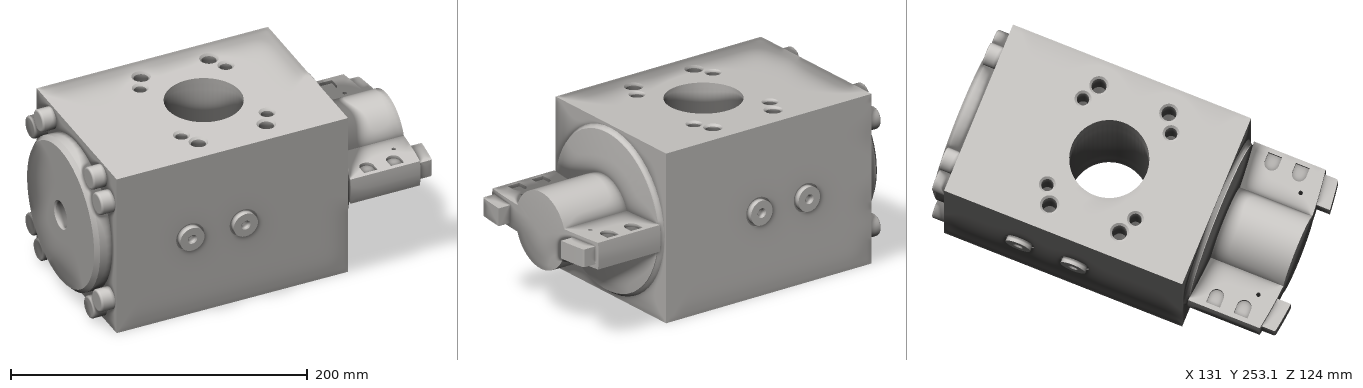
import cadquery as cq
import math


block_width = 124.0
block_front = -95.0
block_back = 78.0
half_block = block_width / 2
bore_diameter = 54.0

drill_point_angle = 118.0
mount_hole_depth = 25.0
inner_hole_diameter = 8.38
inner_hole_mouth = 11.45
inner_hole_spacing = (64.0, 64.0)
outer_hole_diameter = 10.11
outer_hole_mouth = 13.16
outer_hole_spacing = (88.9, 50.8)

cover_diameter = 110.0
cover_height = 12.0
cover_chamfer = 3.0
port_diameter = 18.63
port_mouth = 21.0
port_depth = 20.0

screw_circle_radius = 65.0
screw_half_angle = 8.0
screw_head_diameter = 16.0
screw_head_height = 10.0
screw_head_round = 1.5

plug_diameter = 18.0
plug_protrusion = 3.5
plug_depth = 12.0
plug_socket_mouth = 7.0
plug_socket_diameter = 5.4
plug_socket_depth = 6.0
plug_socket_point_angle = 90.0
spotface_diameter = 21.0
spotface_depth = 1.0
plug_positions_y = (0.0, -40.0)

flange_diameter = 120.0
rim_height = 3.0
rim_step = 2.5
rim_land = 0.5
flange_dome_radius = 450.0
dome_base_radius = flange_diameter / 2 - rim_step

boss_diameter = 56.0
arm_thickness = 19.5
coupling_end_y = 138.1
end_dome_radius = 370.0
pin_hole_diameter = 3.0
pin_hole_x = 38.0
pin_hole_y = 123.7

pocket_outer_x = 56.0
pocket_length = 11.4
pocket_width = 10.0
pocket_depth = 2.5
pocket_positions_y = (98.0, 118.0)

lug_inner_x = 35.0
lug_outer_x = 56.7
lug_thickness = 13.0
lug_end_y = 146.14
lug_chamfer = 1.0


def dome_sag(dome_radius, radius):
    """Distance a dome falls below its peak at the given radius from the axis."""
    return dome_radius - math.sqrt(dome_radius**2 - radius**2)


dome_peak_y = block_back + rim_height + rim_land + dome_sag(flange_dome_radius, dome_base_radius)
lug_peak_y = lug_end_y + dome_sag(end_dome_radius, lug_inner_x)


def cylinder_y(diameter, start, length):
    """Cylinder on the Y axis growing toward +Y."""
    base = cq.Solid.makeCylinder(diameter / 2, length, cq.Vector(0, start, 0), cq.Vector(0, 1, 0))
    return cq.Workplane(obj=base)


def domed_cylinder(radius, start, peak, dome_radius):
    """Cylinder on the Y axis, from start to a domed end that peaks at the given Y."""
    half_radius = radius / 2
    return (
        cq.Workplane("XY")
        .moveTo(0, start)
        .lineTo(radius, start)
        .lineTo(radius, peak - dome_sag(dome_radius, radius))
        .threePointArc((half_radius, peak - dome_sag(dome_radius, half_radius)), (0, peak))
        .close()
        .revolve(360, (0, 0, 0), (0, 1, 0))
    )


def make_drilled_holes(spacing, diameter, mouth):
    """Four blind holes in the top face with 45 degree mouths and drill points."""
    radius = diameter / 2
    mouth_radius = mouth / 2
    point_height = radius / math.tan(math.radians(drill_point_angle / 2))
    floor_z = half_block - mount_hole_depth
    cutter = (
        cq.Workplane("XZ")
        .moveTo(0, half_block)
        .lineTo(mouth_radius, half_block)
        .lineTo(radius, half_block - (mouth_radius - radius))
        .lineTo(radius, floor_z)
        .lineTo(0, floor_z - point_height)
        .close()
        .revolve(360, (0, 0, 0), (0, 1, 0))
        .val()
    )
    return (
        cq.Workplane("XY")
        .rarray(spacing[0], spacing[1], 2, 2)
        .eachpoint(lambda place: cutter.moved(place))
    )


def make_block():
    block = cq.Workplane("XY").box(block_width, block_back - block_front, block_width)
    block = block.translate((0, (block_front + block_back) / 2, 0))
    bore = cq.Workplane("XY").circle(bore_diameter / 2).extrude(half_block, both=True)
    return (
        block.cut(bore)
        .cut(make_drilled_holes(inner_hole_spacing, inner_hole_diameter, inner_hole_mouth))
        .cut(make_drilled_holes(outer_hole_spacing, outer_hole_diameter, outer_hole_mouth))
    )


def make_cover():
    front = block_front - cover_height
    return cylinder_y(cover_diameter, front, cover_height).faces("<Y").chamfer(cover_chamfer)


def make_port():
    """Cutter for the blind centre port, with a 45 degree mouth."""
    front = block_front - cover_height
    radius = port_diameter / 2
    mouth_radius = port_mouth / 2
    return (
        cq.Workplane("XY")
        .moveTo(0, front)
        .lineTo(mouth_radius, front)
        .lineTo(radius, front + mouth_radius - radius)
        .lineTo(radius, front + port_depth)
        .lineTo(0, front + port_depth)
        .close()
        .revolve(360, (0, 0, 0), (0, 1, 0))
    )


def make_screw_heads():
    head = cylinder_y(screw_head_diameter, block_front - screw_head_height, screw_head_height)
    head = head.faces("<Y").edges().fillet(screw_head_round)
    heads = []
    for diagonal in (45, 135, 225, 315):
        for offset in (-screw_half_angle, screw_half_angle):
            angle = math.radians(diagonal + offset)
            x = screw_circle_radius * math.cos(angle)
            z = screw_circle_radius * math.sin(angle)
            heads.append(head.translate((x, 0, z)))
    return heads


def make_flange():
    """Conical rim around a short cylinder with a domed face."""
    base = cq.Vector(0, block_back, 0)
    rim = cq.Solid.makeCone(flange_diameter / 2, dome_base_radius, rim_height, base, cq.Vector(0, 1, 0))
    dome = domed_cylinder(dome_base_radius, block_back, dome_peak_y, flange_dome_radius)
    return cq.Workplane(obj=rim).union(dome)


def make_pockets():
    """Cutters for the pockets on both arms, rounded toward the boss."""
    straight = pocket_length - pocket_width / 2
    round_centre_x = pocket_outer_x - straight
    floor_z = arm_thickness / 2 - pocket_depth
    right = (
        cq.Workplane("XY", origin=(0, 0, floor_z))
        .moveTo(pocket_outer_x, -pocket_width / 2)
        .lineTo(pocket_outer_x, pocket_width / 2)
        .lineTo(round_centre_x, pocket_width / 2)
        .threePointArc((pocket_outer_x - pocket_length, 0), (round_centre_x, -pocket_width / 2))
        .close()
        .extrude(pocket_depth)
    )
    pair = right.union(right.mirror("YZ"))
    return [pair.translate((0, y, 0)) for y in pocket_positions_y]


def lug_end_height(x):
    """Y of the curved lug end at a distance from the drive axis."""
    return lug_peak_y - dome_sag(end_dome_radius, x)


def make_lugs():
    """Two flat lugs with curved ends, rooted in the arms."""
    root_y = pin_hole_y
    corner_x = lug_outer_x - lug_chamfer
    middle_x = (lug_inner_x + corner_x) / 2
    right = (
        cq.Workplane("XY")
        .moveTo(lug_inner_x, root_y)
        .lineTo(lug_inner_x, lug_end_y)
        .threePointArc((middle_x, lug_end_height(middle_x)), (corner_x, lug_end_height(corner_x)))
        .lineTo(lug_outer_x, lug_end_height(corner_x) - lug_chamfer)
        .lineTo(lug_outer_x, root_y)
        .close()
        .extrude(lug_thickness / 2, both=True)
    )
    return right.union(right.mirror("YZ"))


def make_coupling():
    """Boss, arms and lugs, standing on the domed face of the flange."""
    boss = domed_cylinder(boss_diameter / 2, block_back, coupling_end_y, end_dome_radius)
    below_dome = domed_cylinder(flange_diameter, 0, dome_peak_y, flange_dome_radius)
    arms = domed_cylinder(flange_diameter / 2, block_back, coupling_end_y, end_dome_radius)
    slab = cq.Workplane("XY").box(2 * flange_diameter, 4 * lug_end_y, arm_thickness)
    arms = arms.intersect(slab).cut(below_dome)
    pin_holes = (
        cq.Workplane("XY", origin=(0, pin_hole_y, 0))
        .pushPoints([(-pin_hole_x, 0), (pin_hole_x, 0)])
        .circle(pin_hole_diameter / 2)
        .extrude(arm_thickness, both=True)
    )
    coupling = boss.union(arms).union(make_lugs()).cut(pin_holes)
    for pocket_pair in make_pockets():
        coupling = coupling.cut(pocket_pair)
    return coupling


def make_side_cylinder(side, y, diameter, inner_x, outer_x):
    """Cylinder along X between two distances from the centre, on the given side."""
    start = cq.Vector(side * inner_x, y, 0)
    return cq.Workplane(
        obj=cq.Solid.makeCylinder(diameter / 2, outer_x - inner_x, start, cq.Vector(side, 0, 0))
    )


def make_plug(side, y):
    """Plug with a countersunk blind socket that ends in a cone."""
    outer_x = half_block + plug_protrusion
    socket_floor_x = outer_x - plug_socket_depth
    socket_radius = plug_socket_diameter / 2
    point_height = socket_radius / math.tan(math.radians(plug_socket_point_angle / 2))
    mouth_depth = (plug_socket_mouth - plug_socket_diameter) / 2
    inward = cq.Vector(-side, 0, 0)
    outer_centre = cq.Vector(side * outer_x, y, 0)
    floor_centre = cq.Vector(side * socket_floor_x, y, 0)
    body = make_side_cylinder(side, y, plug_diameter, half_block - plug_depth, outer_x)
    socket = make_side_cylinder(side, y, plug_socket_diameter, socket_floor_x, outer_x)
    mouth = cq.Solid.makeCone(plug_socket_mouth / 2, socket_radius, mouth_depth, outer_centre, inward)
    point = cq.Solid.makeCone(socket_radius, 0, point_height, floor_centre, inward)
    return body.cut(socket).cut(cq.Workplane(obj=mouth)).cut(cq.Workplane(obj=point))


def make_plug_seat(side, y):
    """Cutter for a plug bore and its spot face."""
    bore = make_side_cylinder(side, y, plug_diameter, half_block - plug_depth, half_block)
    spotface = make_side_cylinder(side, y, spotface_diameter, half_block - spotface_depth, half_block)
    return bore.union(spotface)


plug_places = [(side, y) for side in (-1, 1) for y in plug_positions_y]

housing = make_block().union(make_cover()).cut(make_port())
for screw_head in make_screw_heads():
    housing = housing.union(screw_head)
housing = housing.union(make_flange()).union(make_coupling())
for side, y in plug_places:
    housing = housing.cut(make_plug_seat(side, y))

plugs = [make_plug(side, y) for side, y in plug_places]

result = cq.Compound.makeCompound([housing.solids().val(), *[plug.solids().val() for plug in plugs]])